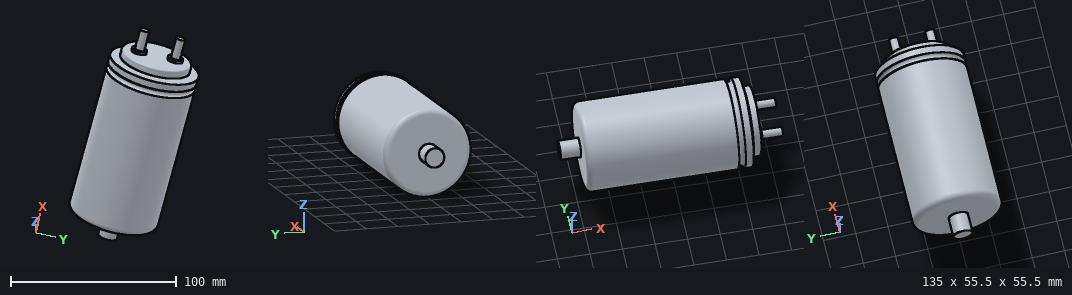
import cadquery as cq

total_length = 135.0
can_diameter = 55.5
can_radius = can_diameter / 2

stud_length = 12.4
stud_diameter = 12.0

can_edge_radius = 3.6
groove_start = 105.5
groove_width = 4.0
groove_depth = groove_width / 2
rim_edge = 114.3
rim_end = 115.5

cover_end = 120.4
cover_diameter = 43.5
cover_edge_radius = 1.0

terminal_spacing = 22.4
pin_diameter = 6.0
collar_diameter = 9.3
collar_length = 1.6


def cylinder(start, end, diameter, y=0.0):
    """Solid cylinder along X between two stations."""
    return cq.Workplane("YZ", origin=(start, y, 0)).circle(diameter / 2).extrude(end - start)


def make_can():
    """Revolve the can outline, given as station along X and radius, about the X axis."""
    can_start = stud_length
    groove_end = groove_start + groove_width
    groove_middle = groove_start + groove_width / 2
    outline = (
        cq.Workplane("XY")
        .moveTo(can_start, 0)
        .lineTo(can_start, can_radius - can_edge_radius)
        .radiusArc((can_start + can_edge_radius, can_radius), can_edge_radius)
        .lineTo(groove_start, can_radius)
        .threePointArc((groove_middle, can_radius - groove_depth), (groove_end, can_radius))
        .lineTo(rim_edge, can_radius)
        .lineTo(rim_end, cover_diameter / 2)
        .lineTo(rim_end, 0)
        .close()
    )
    return outline.revolve(360, (0, 0, 0), (1, 0, 0))


def make_cover():
    cover = cylinder(rim_end, cover_end, cover_diameter)
    return cover.faces(">X").edges().fillet(cover_edge_radius)


def make_terminal(y):
    """Terminal pin with a collar at its foot."""
    collar = cylinder(cover_end, cover_end + collar_length, collar_diameter, y)
    pin = cylinder(cover_end, total_length, pin_diameter, y)
    return collar.union(pin)


result = cylinder(0, stud_length, stud_diameter)
result = result.union(make_can())
result = result.union(make_cover())
for side in (-1, 1):
    result = result.union(make_terminal(side * terminal_spacing / 2))

result = result.translate((-total_length / 2, 0, 0))